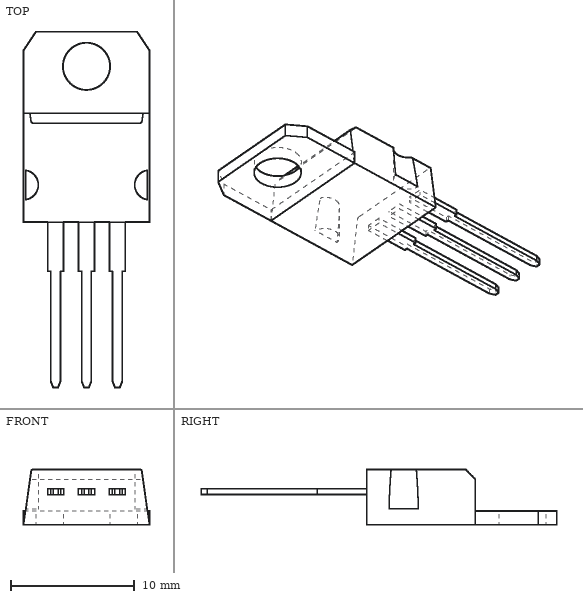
import cadquery as cq
import math

package_width = 10.2
package_length = 8.8
package_height = 4.5
side_draft_angle = 8.0
rear_chamfer = 0.8
side_edge_radius = 0.2

notch_radius = 1.2
notch_y = 3.0
notch_floor_z = 1.3

tab_length = 6.6
tab_thickness = 1.15
tab_corner_x = 1.0
tab_corner_y = 1.5
hole_diameter = 3.8
hole_from_tab_end = 2.8

lead_count = 3
lead_pitch = 2.5
lead_thickness = 0.5
lead_bottom_z = 2.45
lead_length = 13.4
shoulder_length = 4.0
shoulder_width = 1.3
lead_width = 0.8
tip_width = 0.4
tip_length = 0.5


def make_package():
    """Block with drafted sides, rounded upper side edges, a rear chamfer and a notch in each side."""
    half_bottom = package_width / 2
    half_top = half_bottom - package_height * math.tan(math.radians(side_draft_angle))
    block = (
        cq.Workplane("XZ")
        .polyline([
            (-half_bottom, 0),
            (half_bottom, 0),
            (half_top, package_height),
            (-half_top, package_height),
        ])
        .close()
        .extrude(-package_length)
    )
    block = block.faces(">Z").edges("|Y").fillet(side_edge_radius)
    rear_corner = (
        cq.Workplane("YZ")
        .polyline([
            (package_length - rear_chamfer, package_height),
            (package_length, package_height),
            (package_length, package_height - rear_chamfer),
        ])
        .close()
        .extrude(half_bottom, both=True)
    )
    notches = (
        cq.Workplane("XY", origin=(0, 0, notch_floor_z))
        .pushPoints([(-half_bottom, notch_y), (half_bottom, notch_y)])
        .circle(notch_radius)
        .extrude(package_height - notch_floor_z)
    )
    return block.cut(rear_corner).cut(notches)


def make_lead(x):
    """Flat lead with a wide shoulder at the package and a tapered tip."""
    shoulder = shoulder_width / 2
    shank = lead_width / 2
    tip = tip_width / 2
    tip_start = lead_length - tip_length
    return (
        cq.Workplane("XY", origin=(x, 0, lead_bottom_z))
        .polyline([
            (-shoulder, 0),
            (-shoulder, -shoulder_length),
            (-shank, -shoulder_length),
            (-shank, -tip_start),
            (-tip, -lead_length),
            (tip, -lead_length),
            (shank, -tip_start),
            (shank, -shoulder_length),
            (shoulder, -shoulder_length),
            (shoulder, 0),
        ])
        .close()
        .extrude(lead_thickness)
    )


def make_tab():
    """Mounting plate with two cut corners and a screw hole, butted against the package."""
    half_width = package_width / 2
    tab_end = package_length + tab_length
    return (
        cq.Workplane("XY")
        .polyline([
            (-half_width, package_length),
            (half_width, package_length),
            (half_width, tab_end - tab_corner_y),
            (half_width - tab_corner_x, tab_end),
            (-half_width + tab_corner_x, tab_end),
            (-half_width, tab_end - tab_corner_y),
        ])
        .close()
        .moveTo(0, tab_end - hole_from_tab_end)
        .circle(hole_diameter / 2)
        .extrude(tab_thickness)
    )


package = make_package()
for index in range(lead_count):
    lead_x = (index - (lead_count - 1) / 2) * lead_pitch
    package = package.union(make_lead(lead_x))

tab = make_tab()

result = cq.Compound.makeCompound([package.val(), tab.val()])